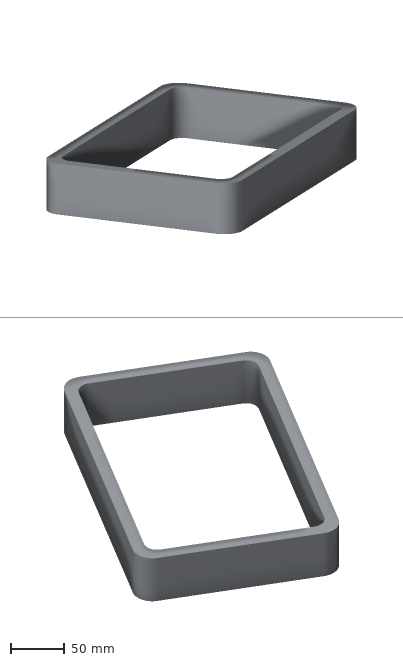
import cadquery as cq

width = 200.0
length = 300.0
height = 50.0

wall = 12.5
outer_radius = 18.75
inner_radius = 12.5


def rounded_block(size_x, size_y, corner_radius):
    """Full-height block centred on the Z axis with rounded vertical edges."""
    block = cq.Workplane("XY").rect(size_x, size_y).extrude(height)
    return block.edges("|Z").fillet(corner_radius)


outer_block = rounded_block(width, length, outer_radius)
opening = rounded_block(width - 2 * wall, length - 2 * wall, inner_radius)

result = outer_block.cut(opening)